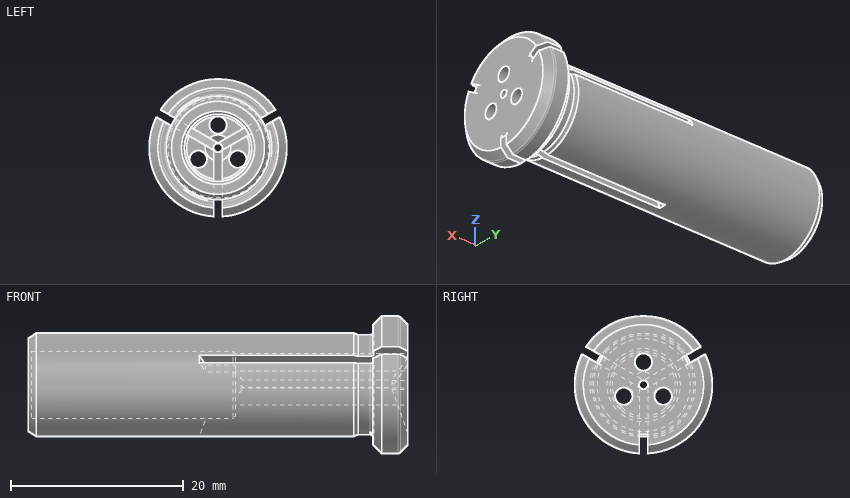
import cadquery as cq
length = 44.0
tube_radius = 12.0 / 2
head_radius = 15.95 / 2
bore_radius = 7.8 / 2

end_chamfer_length = 0.95
end_chamfer_depth = 0.6
bore_chamfer = 0.35

neck_radius = 5.8
neck_ramp_start = 37.7
neck_start = 38.25
undercut_fillet = 0.45
undercut_depth = 0.1
undercut_outer_radius = 6.7

head_start = 39.95
head_chamfer = 1.0
head_edge_fillet = 0.35

bore_depth = 24.0
bore_floor_chamfer = 0.25
center_hole_diameter = 1.0
countersink_diameter = 3.0
plug_hole_diameter = 2.0
plug_hole_circle_radius = 2.65
first_plug_hole_angle = 90

slot_count = 3
slot_clearance = 0.45
first_slot_angle = 180.0
slot_width = 0.95
slot_start = 19.8
cap_start = 41.98
cap_radius = 5.7
slot_end_slope = (length - cap_start) / cap_radius


def make_body():
    """Revolve the tube, neck, undercut and head."""
    face_radius = head_radius - head_chamfer
    undercut_bottom = head_start + undercut_depth
    profile = (
        cq.Workplane("XY")
        .moveTo(0, 0)
        .lineTo(0, tube_radius - end_chamfer_depth)
        .lineTo(end_chamfer_length, tube_radius)
        .lineTo(neck_ramp_start, tube_radius)
        .lineTo(neck_start, neck_radius)
        .lineTo(undercut_bottom - undercut_fillet, neck_radius)
        .radiusArc((undercut_bottom, neck_radius + undercut_fillet), -undercut_fillet)
        .lineTo(head_start, undercut_outer_radius)
        .lineTo(head_start, face_radius)
        .lineTo(head_start + head_chamfer, head_radius)
        .lineTo(length - head_chamfer, head_radius)
        .lineTo(length, face_radius)
        .lineTo(length, 0)
        .close()
    )
    body = profile.revolve(360, (0, 0, 0), (1, 0, 0))
    rim_x = length - head_chamfer
    rim_margin = 0.05
    rim = cq.selectors.BoxSelector(
        (rim_x - rim_margin, -length, -length),
        (rim_x + rim_margin, length, length),
    )
    return body.edges(rim).fillet(head_edge_fillet)


def make_bore():
    """Blind bore with a chamfered mouth, chamfered floor and centre countersink."""
    countersink_radius = countersink_diameter / 2
    return (
        cq.Workplane("XY")
        .moveTo(0, 0)
        .lineTo(0, bore_radius + bore_chamfer)
        .lineTo(bore_chamfer, bore_radius)
        .lineTo(bore_depth - bore_floor_chamfer, bore_radius)
        .lineTo(bore_depth, bore_radius - bore_floor_chamfer)
        .lineTo(bore_depth, countersink_radius)
        .lineTo(bore_depth + countersink_radius, 0)
        .close()
        .revolve(360, (0, 0, 0), (1, 0, 0))
    )


def make_plug_holes():
    """Centre hole and one hole midway between each pair of slots."""
    center = cq.Workplane("YZ").circle(center_hole_diameter / 2).extrude(length)
    ring = (
        cq.Workplane("YZ")
        .polarArray(plug_hole_circle_radius, first_plug_hole_angle, 360, slot_count)
        .circle(plug_hole_diameter / 2)
        .extrude(length)
    )
    return center.union(ring)


def make_slot(angle):
    """Radial slot, open through the head, turned about X from straight up."""
    outer = head_radius + slot_clearance
    slot = (
        cq.Workplane("XZ")
        .moveTo(slot_start - (outer - tube_radius) * slot_end_slope, outer)
        .lineTo(slot_start + tube_radius * slot_end_slope, 0)
        .lineTo(cap_start, 0)
        .lineTo(length, cap_radius)
        .lineTo(length, outer)
        .close()
        .extrude(slot_width / 2, both=True)
    )
    return slot.rotate((0, 0, 0), (1, 0, 0), angle)


result = make_body().cut(make_bore()).cut(make_plug_holes())
for index in range(slot_count):
    result = result.cut(make_slot(first_slot_angle + index * 360 / slot_count))